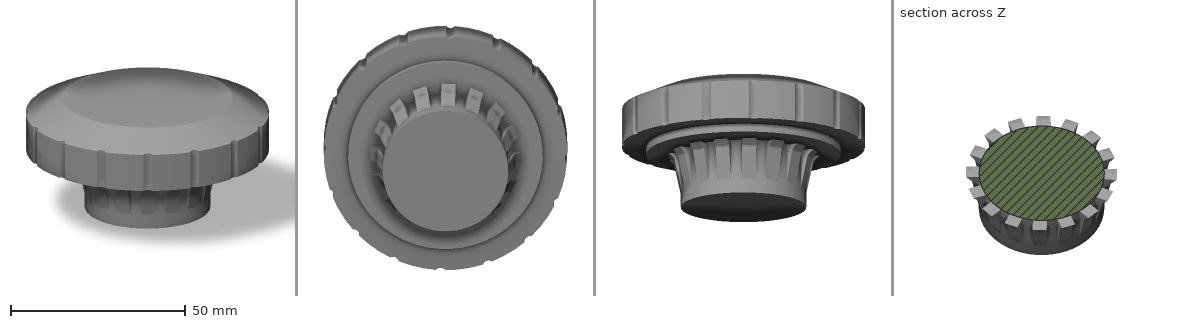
import cadquery as cq
import math

overall_width = 69.95
overall_height = 33.5

flange_bottom = 15.6
rim_bottom = 17.9
bevel_bottom = 28.95

neck_radius = 18.05
flange_radius = 28.0
top_radius = 24.5

notch_count = 16
notch_half_width = 1.3
notch_radius = 1.7

rib_count = 16
rib_width = 4.05
rib_bottom = 4.4
rib_kink_height = 13.5
rib_top = 15.2
rib_kink_radius = 20.0
rib_top_radius = 21.7

rim_radius = math.hypot(overall_width / 2, notch_half_width)
notch_center_offset = overall_width / 2 + math.sqrt(notch_radius**2 - notch_half_width**2)


def turned_body():
    """Neck, flange, rim and bevelled top as one revolved solid."""
    return (
        cq.Workplane("XZ")
        .moveTo(0, 0)
        .lineTo(neck_radius, 0)
        .lineTo(neck_radius, flange_bottom)
        .lineTo(flange_radius, flange_bottom)
        .lineTo(flange_radius, rim_bottom)
        .lineTo(rim_radius, rim_bottom)
        .lineTo(rim_radius, bevel_bottom)
        .lineTo(top_radius, overall_height)
        .lineTo(0, overall_height)
        .close()
        .revolve(360, (0, 0, 0), (0, 1, 0))
    )


def grip_notches():
    """Vertical round cutters spaced evenly around the rim."""
    return (
        cq.Workplane("XY")
        .workplane(offset=rim_bottom)
        .polarArray(notch_center_offset, 0, 360, notch_count)
        .circle(notch_radius)
        .extrude(overall_height - rim_bottom)
    )


def flared_ribs():
    """Flat-faced ribs that lean outward up the neck and flare more steeply near the top."""
    rib_pair = (
        cq.Workplane("XZ")
        .moveTo(-neck_radius, rib_bottom)
        .lineTo(neck_radius, rib_bottom)
        .lineTo(rib_kink_radius, rib_kink_height)
        .lineTo(rib_top_radius, rib_top)
        .lineTo(-rib_top_radius, rib_top)
        .lineTo(-rib_kink_radius, rib_kink_height)
        .close()
        .extrude(rib_width / 2, both=True)
    )
    ribs = rib_pair
    for index in range(1, rib_count // 2):
        ribs = ribs.union(rib_pair.rotate((0, 0, 0), (0, 0, 1), index * 360 / rib_count))
    return ribs


result = turned_body().cut(grip_notches()).union(flared_ribs())